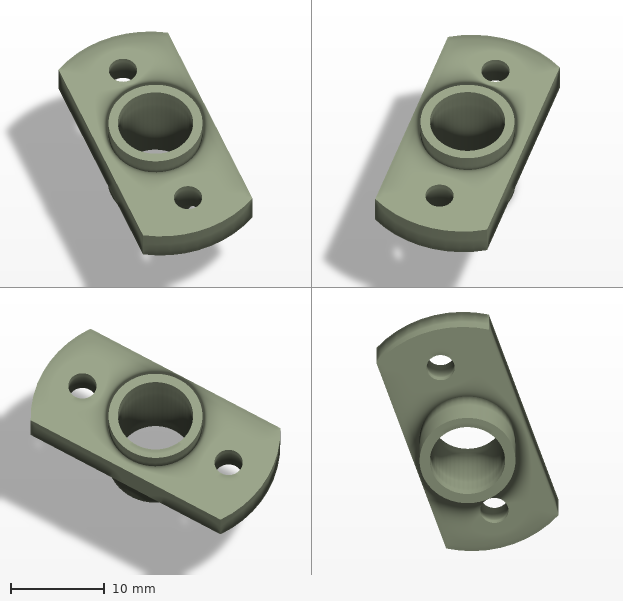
import cadquery as cq
import math

flange_length = 26.96
flange_width = 12.6
flange_thickness = 3.5
end_radius = 12.0

upper_diameter = 10.0
upper_height = 2.0
lower_diameter = 10.2
lower_height = 5.0

bore_diameter = 8.0
screw_hole_diameter = 3.0
screw_hole_spacing = 18.0

total_height = lower_height + flange_thickness + upper_height
flange_top = lower_height + flange_thickness


def make_flange():
    """Plate resting on the lower spigot, its ends bulging outward as arcs."""
    half_length = flange_length / 2
    half_width = flange_width / 2
    bulge = end_radius - math.sqrt(end_radius**2 - half_width**2)
    corner_x = half_length - bulge
    return (
        cq.Workplane("XY")
        .workplane(offset=lower_height)
        .moveTo(-corner_x, -half_width)
        .lineTo(corner_x, -half_width)
        .threePointArc((half_length, 0), (corner_x, half_width))
        .lineTo(-corner_x, half_width)
        .threePointArc((-half_length, 0), (-corner_x, -half_width))
        .close()
        .extrude(flange_thickness)
    )


def make_cylinder(diameter, height, base_z=0):
    """Upright cylinder on the Z axis."""
    return cq.Workplane("XY").workplane(offset=base_z).circle(diameter / 2).extrude(height)


def make_screw_holes():
    """Pair of cutters through the flange, one on each side of the bore."""
    half_spacing = screw_hole_spacing / 2
    return (
        cq.Workplane("XY")
        .workplane(offset=lower_height)
        .pushPoints([(-half_spacing, 0), (half_spacing, 0)])
        .circle(screw_hole_diameter / 2)
        .extrude(flange_thickness)
    )


lower_spigot = make_cylinder(lower_diameter, lower_height)
upper_spigot = make_cylinder(upper_diameter, upper_height, flange_top)
bore = make_cylinder(bore_diameter, total_height)

body = make_flange().union(lower_spigot).union(upper_spigot)
result = body.cut(bore).cut(make_screw_holes())